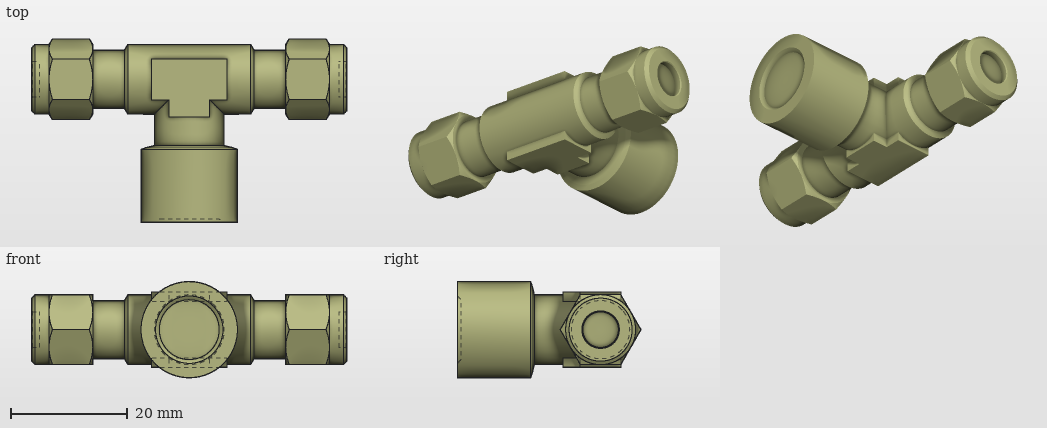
import cadquery as cq
import math

run_length = 54.0
body_diameter = 12.0
body_half_length = 11.1
body_slope_length = 0.6
neck_diameter = 10.0

nut_inner_x = 16.5
nut_outer_x = 24.05
nut_across_flats = body_diameter
nut_corner_chamfer = 0.6
collar_diameter = nut_across_flats
collar_chamfer = 0.6
tube_bore_diameter = 6.1
tube_bore_lip = 0.15
tube_bore_depth = 1.35

branch_reach = 24.5
branch_diameter = body_diameter
socket_diameter = 16.5
socket_start = 12.0
socket_shoulder_length = 0.65
shoulder_ridge_diameter = 14.7
shoulder_ridge_setback = 0.3
socket_bore_diameter = 11.55
socket_bore_floor_diameter = 10.25
socket_bore_depth = 0.6

pad_thickness = 12.95
pad_half_length = 6.5
pad_half_width = 3.5

run_half = run_length / 2
nut_corner_radius = nut_across_flats / math.sqrt(3)


def turned(profile, axis_end):
    """Revolve a profile drawn in the XY plane about the line from the origin to axis_end."""
    return cq.Workplane("XY").polyline(profile).close().revolve(360, (0, 0, 0), axis_end)


def turned_about_x(profile):
    """Revolve (x, radius) points about the run axis."""
    return turned(profile, (1, 0, 0))


def turned_about_y(profile):
    """Revolve (distance along -Y, radius) points about the branch axis."""
    return turned([(radius, -distance) for distance, radius in profile], (0, 1, 0))


def run_body():
    """Central cylinder, sloping down to the neck at both ends."""
    slope_start = body_half_length - body_slope_length
    return turned_about_x([
        (-body_half_length, 0),
        (-body_half_length, neck_diameter / 2),
        (-slope_start, body_diameter / 2),
        (slope_start, body_diameter / 2),
        (body_half_length, neck_diameter / 2),
        (body_half_length, 0),
    ])


def nut():
    """Hexagon with two flats facing +Z and -Z, its corners turned down at both faces."""
    hexagon = (
        cq.Workplane("YZ", origin=(nut_inner_x, 0, 0))
        .polygon(6, 2 * nut_corner_radius)
        .extrude(nut_outer_x - nut_inner_x)
    )
    flat_radius = nut_across_flats / 2
    turned_limit = turned_about_x([
        (nut_inner_x, 0),
        (nut_inner_x, flat_radius),
        (nut_inner_x + nut_corner_chamfer, nut_corner_radius),
        (nut_outer_x - nut_corner_chamfer, nut_corner_radius),
        (nut_outer_x, flat_radius),
        (nut_outer_x, 0),
    ])
    return hexagon.intersect(turned_limit)


def run_end():
    """Neck, nut and collar of the +X end, with its blind tube bore and bevelled lip."""
    neck = cq.Workplane("YZ").circle(neck_diameter / 2).extrude(nut_outer_x)
    collar_radius = collar_diameter / 2
    collar = turned_about_x([
        (nut_outer_x, 0),
        (nut_outer_x, collar_radius),
        (run_half - collar_chamfer, collar_radius),
        (run_half, collar_radius - collar_chamfer),
        (run_half, 0),
    ])
    bore = turned_about_x([
        (run_half - tube_bore_depth, 0),
        (run_half - tube_bore_depth, tube_bore_diameter / 2),
        (run_half - tube_bore_lip, tube_bore_diameter / 2),
        (run_half, tube_bore_diameter / 2 + tube_bore_lip),
        (run_half, 0),
    ])
    return neck.union(nut()).union(collar).cut(bore)


def branch():
    """Branch stem and larger socket, with a two-cone shoulder and a shallow tapered bore."""
    outside = turned_about_y([
        (0, 0),
        (0, branch_diameter / 2),
        (socket_start - socket_shoulder_length, branch_diameter / 2),
        (socket_start - shoulder_ridge_setback, shoulder_ridge_diameter / 2),
        (socket_start, socket_diameter / 2),
        (branch_reach, socket_diameter / 2),
        (branch_reach, 0),
    ])
    bore = turned_about_y([
        (branch_reach - socket_bore_depth, 0),
        (branch_reach - socket_bore_depth, socket_bore_floor_diameter / 2),
        (branch_reach, socket_bore_diameter / 2),
        (branch_reach, 0),
    ])
    return outside.cut(bore)


def wrench_pad():
    """T-shaped block standing proud of the body above and below."""
    bar = cq.Workplane("XY").box(2 * pad_half_length, 2 * pad_half_width, pad_thickness)
    leg = (
        cq.Workplane("XY")
        .box(2 * pad_half_width, pad_half_length, pad_thickness)
        .translate((0, -pad_half_length / 2, 0))
    )
    return bar.union(leg)


right_end = run_end()
left_end = right_end.mirror("YZ")

result = run_body().union(branch()).union(wrench_pad()).union(right_end).union(left_end)